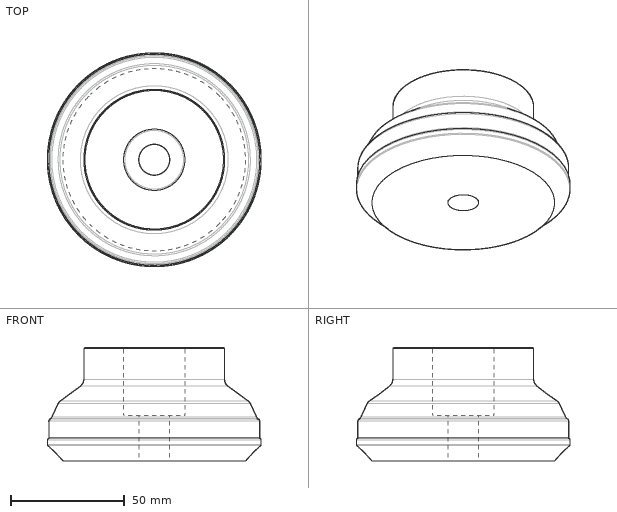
import cadquery as cq
import math

total_height = 50.04
screw_hole_diameter = 13.5

foot_diameter = 94.19
foot_base_diameter = 80.4
foot_height = 10.1
foot_flank_height = 7.0
foot_flank_hollow = 0.2
foot_top_fillet = 0.9
foot_lower_fillet = 0.6

hub_diameter = 62.0
hub_top_chamfer = 0.5
flange_diameter = 92.94
flange_bottom_fillet = 0.4
shoulder_diameter = 90.64
break_diameter = 84.1
upper_cone_top = 34.1
break_height = 26.0
shoulder_top = 18.95
shoulder_angle = 30.0
neck_fillet = 3.8
break_fillet = 2.5
shoulder_fillet = 1.6
flange_top_fillet = 1.2

bore_diameter = 27.01
bore_depth = 30.0
bore_floor_fillet = 0.6

match_tolerance = 0.01


def revolve(profile):
    """Turn a closed radius/height profile on the XZ plane around the Z axis."""
    return profile.close().revolve(360, (0, 0, 0), (0, 1, 0))


def fillet_circle(body, radius, height, fillet):
    """Round the circular edge of the given radius that lies at the given height."""
    edges = [
        edge
        for edge in body.edges("%CIRCLE").vals()
        if abs(edge.Center().z - height) < match_tolerance
        and abs(edge.radius() - radius) < match_tolerance
    ]
    return body.newObject(edges).fillet(fillet)


def make_foot():
    outer = foot_diameter / 2
    base = foot_base_diameter / 2
    hole = screw_hole_diameter / 2

    flank_angle = math.atan2(foot_flank_height, outer - base)
    flank_middle = (
        (outer + base) / 2 - foot_flank_hollow * math.sin(flank_angle),
        foot_flank_height / 2 + foot_flank_hollow * math.cos(flank_angle),
    )
    profile = (
        cq.Workplane("XZ")
        .moveTo(hole, 0)
        .lineTo(base, 0)
        .threePointArc(flank_middle, (outer, foot_flank_height))
        .lineTo(outer, foot_height)
        .lineTo(hole, foot_height)
    )
    body = revolve(profile)
    body = fillet_circle(body, outer, foot_height, foot_top_fillet)
    return fillet_circle(body, outer, foot_flank_height, foot_lower_fillet)


def make_hub():
    neck = hub_diameter / 2
    cone_break = break_diameter / 2
    shoulder = shoulder_diameter / 2
    flange = flange_diameter / 2
    bore = bore_diameter / 2
    hole = screw_hole_diameter / 2
    bore_floor = total_height - bore_depth
    flange_top = shoulder_top - (flange - shoulder) * math.tan(math.radians(shoulder_angle))

    profile = cq.Workplane("XZ").polyline([
        (hole, foot_height),
        (flange, foot_height),
        (flange, flange_top),
        (shoulder, shoulder_top),
        (cone_break, break_height),
        (neck, upper_cone_top),
        (neck, total_height - hub_top_chamfer),
        (neck - hub_top_chamfer, total_height),
        (bore, total_height),
        (bore, bore_floor),
        (hole, bore_floor),
    ])
    body = revolve(profile)

    rounded_circles = [
        (flange, foot_height, flange_bottom_fillet),
        (flange, flange_top, flange_top_fillet),
        (shoulder, shoulder_top, shoulder_fillet),
        (cone_break, break_height, break_fillet),
        (neck, upper_cone_top, neck_fillet),
        (bore, bore_floor, bore_floor_fillet),
    ]
    for radius, height, fillet in rounded_circles:
        body = fillet_circle(body, radius, height, fillet)
    return body


foot = make_foot()
hub = make_hub()

result = cq.Compound.makeCompound([foot.val(), hub.val()])